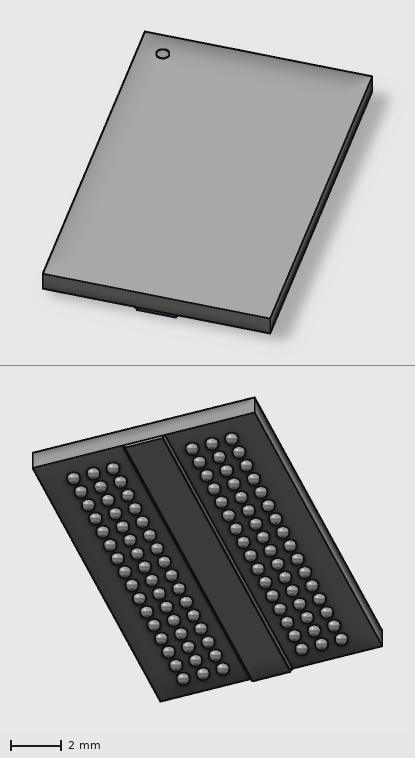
import cadquery as cq

board_width = 9.46
board_length = 14.74
total_height = 1.16
board_bottom = 0.34
board_thickness = total_height - board_bottom

ball_diameter = 0.53
ball_radius = ball_diameter / 2
ball_rows = 16
ball_row_span = 12.63
ball_pitch = ball_row_span / (ball_rows - 1)
bank_columns = 3
first_column_x = 2 * ball_pitch

mark_diameter = 0.53
mark_inset = 1.05
mark_depth = 0.03

strip_root_width = 1.83
strip_face_width = 1.62
strip_height = 0.15
strip_lip = 0.05


def make_slab():
    """Rectangular slab with the pin-one recess in its top face."""
    slab = cq.Workplane("XY", origin=(0, 0, board_bottom)).box(
        board_width, board_length, board_thickness, centered=(True, True, False)
    )
    mark_x = -board_width / 2 + mark_inset
    mark_y = board_length / 2 - mark_inset
    mark = (
        cq.Workplane("XY", origin=(mark_x, mark_y, total_height))
        .circle(mark_diameter / 2)
        .extrude(-mark_depth)
    )
    return slab.cut(mark)


def ball_centres():
    """Centres of all the balls, which rest on the plane Z = 0."""
    centres = []
    for side in (-1, 1):
        for column in range(bank_columns):
            x = side * (first_column_x + column * ball_pitch)
            for row in range(ball_rows):
                y = row * ball_pitch - ball_row_span / 2
                centres.append(cq.Vector(x, y, ball_radius))
    return centres


def make_board():
    """Slab with the solder balls joined to its underside."""
    ball = cq.Workplane("XZ").sphere(ball_radius).val()
    balls = [ball.moved(cq.Location(centre)) for centre in ball_centres()]
    return make_slab().union(cq.Compound.makeCompound(balls))


def make_sealing_strip():
    """Bar with sloping sides that end in a short upright lip."""
    root_x = strip_root_width / 2
    face_x = strip_face_width / 2
    lip_z = strip_lip - strip_height
    return (
        cq.Workplane("XZ", origin=(0, board_length / 2, board_bottom))
        .moveTo(-root_x, 0)
        .lineTo(root_x, 0)
        .lineTo(face_x, lip_z)
        .lineTo(face_x, -strip_height)
        .lineTo(-face_x, -strip_height)
        .lineTo(-face_x, lip_z)
        .close()
        .extrude(board_length)
    )


board = make_board()
sealing_strip = make_sealing_strip()

result = cq.Compound.makeCompound([board.val(), sealing_strip.val()])